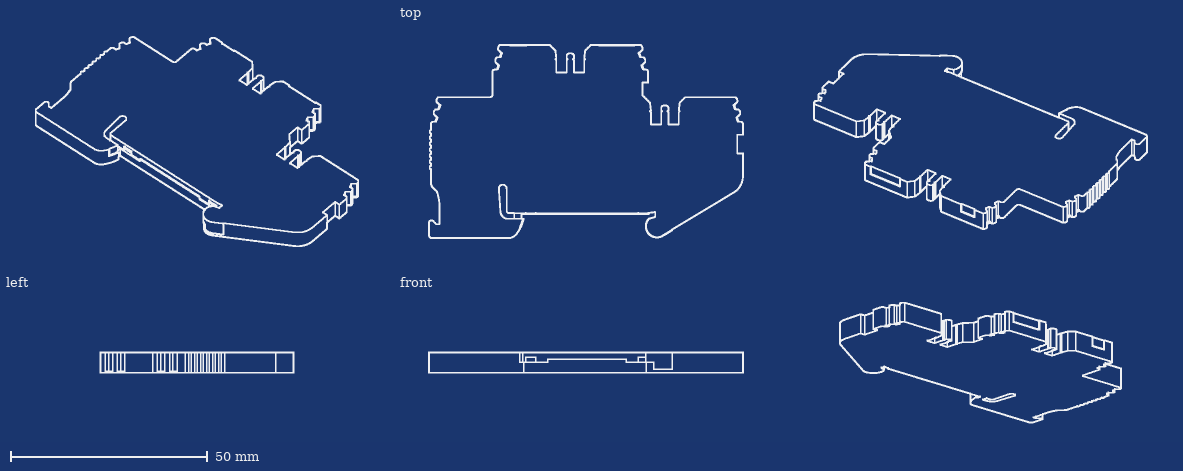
import cadquery as cq
import math

LENGTH = 79.8
HEIGHT = 49.1
THICKNESS = 5.2
PARTING_Z = 2.7
SKIN_Z = 0.4

TIER_DROP = 13.25
MID_TOP = HEIGHT - TIER_DROP
TOWER_CENTER = 35.9
TOWER_HALF_WIDTH = 19.8
TOWER_LEFT = TOWER_CENTER - TOWER_HALF_WIDTH
TOWER_RIGHT = TOWER_CENTER + TOWER_HALF_WIDTH
LEFT_WALL = 0.5
TIER_CORNER_RADIUS = 0.6

TOOTH_COUNT = 2
TOOTH_PITCH = 3.1
TOOTH_SHIFT = 0.7
CREST_INSET = 1.9
CREST_MIDDLE = (-0.4, 0.5)
TOOTH_TIP = (-0.5, 1.2)
ROOT_TOP = (0.55, 2.1)
ROOT_BOTTOM_INSET = 0.15
CUT_MARGIN = 0.8
NOTCH_LIP = 0.2
SHOULDER_ROUND = 0.6

FORK_SPACING = 24.0
FORK_HALF_WIDTH = 3.5
FORK_DEPTH = 6.95
FORK_MOUTH = 5.2
FORK_SHOULDER = 1.4
POST_HALF_WIDTH = 0.95
POST_DROP = 2.1
POST_ROUND = 0.55
POST_ROUND_MIDDLE = (0.6, 2.2)
GROOVE_DROP = 3.6
GROOVE_SIZE = 0.2

NOTCH_DEPTH = 1.4
NOTCH_DROP = 9.6
NOTCH_HEIGHT = 4.7

LOWER_FORK_X = TOWER_CENTER + FORK_SPACING
RAMP_RISE = LOWER_FORK_X - FORK_MOUTH - (TOWER_RIGHT - NOTCH_DEPTH)

RIB_COUNT = 7
RIB_PITCH = 1.5
RIB_WIDTH = 0.9
RIB_HEIGHT = 0.3
RIB_FIRST_Y = 17.95

FOOT_RADIUS = 0.8
FOOT_TOP = 4.95
FOOT_TIP = 24.1
FOOT_STEP = 0.2
FOOT_FLAT_END = 20.4
TOE_STEP_START = 23.05
TOE_SOLE_MIDDLE = (21.4, 0.3)
TOE_SOLE_END = (22.2, 0.95)
TOE_FRONT_INSET = 0.8
TOE_FRONT_Y = 2.7
HEEL_TOP = 4.0
HEEL_ROUND_MIDDLE = (0.55, 4.55)
HEEL_ROUND_END = (1.1, 4.4)
HEEL_NOTCH_X = 1.8
ANKLE_X = 2.6
ANKLE_Y = 3.6
ANKLE_TOP = 8.9

ANKLE_ARCS = (
    ((2.5, 10.05), (2.2, 11.1)),
    ((2.0, 11.8), (1.5, 12.4)),
    ((0.8, 13.1), (LEFT_WALL, 13.9)),
)

SLOT_RIGHT = 19.7
SLOT_TOP = 13.6
SLOT_ROUND = 0.95
SLOT_CHAMFER = 0.4
SLOT_BEND_START = (18.2, 6.8)
SLOT_BEND_MIDDLE = (18.7, 5.6)
SLOT_BEND_END_X = 19.95

SEAT_Y = 6.4
SEAT_STEP = 0.2
SEAT_END = 55.85
SEAT_RAISED_Z = 3.4
SEAT_RAISED_START = 30.2
SEAT_RAISED_END = 50.1
TAB_START = 21.6
TAB_END = 23.5
POCKET_WIDTH = 2.55
POCKET_TOP = 4.0
POCKET_DEPTH = 0.5
POCKET_STARTS = (24.6, 53.15)

HOOK_X = 57.9
HOOK_Y = 3.0
HOOK_RADIUS = 2.9
HOOK_STEP = 0.15
HOOK_NECK_X = 57.45
HOOK_NECK_Y = 5.4
HOOK_ARC_END = 138
NOSE_START = 57.05
NOSE_END = 61.75
NOSE_BOTTOM = 0.95
SLOPE = 31
CORNER_RADIUS = 4.95

LABEL_RECESSES = ((20.7, 24.7), (43.25, 52.2))
LABEL_DEPTH = 0.2


def block(x0, x1, y0, y1, z0=0.0, z1=THICKNESS):
    return cq.Workplane("XY").box(x1 - x0, y1 - y0, z1 - z0, centered=False).translate((x0, y0, z0))


def on_circle(center, radius, degrees):
    angle = math.radians(degrees)
    return (center[0] + radius * math.cos(angle), center[1] + radius * math.sin(angle))


def body(hook_radius, foot_tip):
    """Slab with the plain outline, before teeth, forks and notches."""
    hook = (HOOK_X, HOOK_Y)
    slope_start = on_circle(hook, hook_radius, SLOPE - 90)
    wall_meets_slope = slope_start[1] + (LENGTH - slope_start[0]) * math.tan(math.radians(SLOPE))
    tangent_length = CORNER_RADIUS * math.tan(math.radians((90 - SLOPE) / 2))
    corner = (LENGTH - CORNER_RADIUS, wall_meets_slope + tangent_length)
    outline = (
        cq.Workplane("XY")
        .moveTo(FOOT_RADIUS, 0)
        .radiusArc((0, FOOT_RADIUS), FOOT_RADIUS)
        .lineTo(0, HEEL_TOP)
        .threePointArc(HEEL_ROUND_MIDDLE, HEEL_ROUND_END)
        .lineTo(HEEL_NOTCH_X, ANKLE_Y)
        .lineTo(ANKLE_X, ANKLE_Y)
        .lineTo(ANKLE_X, ANKLE_TOP)
    )
    for middle, end in ANKLE_ARCS:
        outline = outline.threePointArc(middle, end)
    outline = (
        outline
        .lineTo(LEFT_WALL, MID_TOP)
        .lineTo(TOWER_LEFT - TIER_CORNER_RADIUS, MID_TOP)
        .radiusArc((TOWER_LEFT, MID_TOP + TIER_CORNER_RADIUS), -TIER_CORNER_RADIUS)
        .lineTo(TOWER_LEFT, HEIGHT)
        .lineTo(TOWER_RIGHT, HEIGHT)
        .lineTo(TOWER_RIGHT, MID_TOP)
        .lineTo(LENGTH, MID_TOP)
        .lineTo(LENGTH, corner[1])
        .threePointArc(
            on_circle(corner, CORNER_RADIUS, (SLOPE - 90) / 2),
            on_circle(corner, CORNER_RADIUS, SLOPE - 90),
        )
        .lineTo(*slope_start)
        .threePointArc(
            on_circle(hook, hook_radius, 180),
            on_circle(hook, hook_radius, HOOK_ARC_END),
        )
        .lineTo(HOOK_NECK_X, HOOK_NECK_Y)
        .lineTo(HOOK_NECK_X, SEAT_Y + SEAT_STEP)
        .lineTo(SEAT_END, SEAT_Y)
        .lineTo(SLOT_RIGHT + SLOT_CHAMFER, SEAT_Y)
        .lineTo(SLOT_RIGHT, SEAT_Y + SLOT_CHAMFER)
        .lineTo(SLOT_RIGHT, SLOT_TOP - SLOT_ROUND)
        .radiusArc((SLOT_RIGHT - 2 * SLOT_ROUND, SLOT_TOP - SLOT_ROUND), -SLOT_ROUND)
        .lineTo(*SLOT_BEND_START)
        .threePointArc(SLOT_BEND_MIDDLE, (SLOT_BEND_END_X, FOOT_TOP))
        .lineTo(foot_tip, FOOT_TOP)
        .threePointArc((foot_tip - TOE_FRONT_INSET, TOE_FRONT_Y), TOE_SOLE_END)
        .threePointArc(TOE_SOLE_MIDDLE, (FOOT_FLAT_END, 0))
        .close()
    )
    return outline.extrude(THICKNESS)


def tooth_cutter(wall_x, top, inward, lip, z0):
    """Space outside the teeth of one tier end; inward is +1 for left ends and -1 for right ends."""
    def at(inset, drop):
        return (wall_x + inward * inset, top - drop)

    cutter = cq.Workplane("XY", origin=(0, 0, z0)).moveTo(*at(-CUT_MARGIN, -CUT_MARGIN))
    cutter = cutter.lineTo(*at(CREST_INSET, -CUT_MARGIN))
    for index in range(TOOTH_COUNT):
        inset = CREST_INSET - index * TOOTH_SHIFT
        drop = index * TOOTH_PITCH
        crest_middle = at(inset + CREST_MIDDLE[0], drop + CREST_MIDDLE[1])
        tip = at(inset + TOOTH_TIP[0], drop + TOOTH_TIP[1])
        cutter = (
            cutter.lineTo(*at(inset, drop))
            .threePointArc(crest_middle, tip)
            .lineTo(*at(inset + ROOT_TOP[0] - lip, drop + ROOT_TOP[1]))
            .lineTo(*at(inset + ROOT_BOTTOM_INSET - lip, drop + TOOTH_PITCH))
        )
    bottom = TOOTH_COUNT * TOOTH_PITCH
    turn = SHOULDER_ROUND * (1 - math.sqrt(0.5))
    cutter = (
        cutter.lineTo(*at(SHOULDER_ROUND, bottom))
        .threePointArc(at(turn, bottom + turn), at(0, bottom + SHOULDER_ROUND))
        .lineTo(*at(-CUT_MARGIN, bottom + SHOULDER_ROUND))
        .close()
    )
    return cutter.extrude(THICKNESS - z0)


def fork_cutter(center_x, top):
    """Two channels either side of a round-topped post, with a 45 degree lead-in."""
    lead_half = FORK_MOUTH - FORK_SHOULDER
    groove_top = GROOVE_DROP - GROOVE_SIZE
    groove_bottom = GROOVE_DROP + GROOVE_SIZE
    half_channel = [
        (0, -RAMP_RISE),
        (FORK_MOUTH + RAMP_RISE, -RAMP_RISE),
        (lead_half, FORK_SHOULDER),
        (FORK_HALF_WIDTH, groove_top),
        (FORK_HALF_WIDTH + GROOVE_SIZE, GROOVE_DROP),
        (FORK_HALF_WIDTH, groove_bottom),
        (FORK_HALF_WIDTH, FORK_DEPTH),
        (POST_HALF_WIDTH, FORK_DEPTH),
        (POST_HALF_WIDTH, groove_bottom),
        (POST_HALF_WIDTH - GROOVE_SIZE, GROOVE_DROP),
        (POST_HALF_WIDTH, groove_top),
        (POST_HALF_WIDTH, POST_DROP + POST_ROUND),
    ]
    right = cq.Workplane("XY").polyline([(x, -drop) for x, drop in half_channel])
    round_x, round_drop = POST_ROUND_MIDDLE
    right = right.threePointArc((round_x, -round_drop), (0, -POST_DROP)).close().extrude(THICKNESS)
    return right.union(right.mirror("YZ")).translate((center_x, top, 0))


def left_rib(center_y):
    """Rounded vertical rib on the left wall."""
    half = RIB_WIDTH / 2
    return (
        cq.Workplane("XY")
        .moveTo(LEFT_WALL, center_y - half)
        .threePointArc((LEFT_WALL - RIB_HEIGHT, center_y), (LEFT_WALL, center_y + half))
        .lineTo(LEFT_WALL + RIB_HEIGHT, center_y + half)
        .lineTo(LEFT_WALL + RIB_HEIGHT, center_y - half)
        .close()
        .extrude(THICKNESS)
    )


result = body(HOOK_RADIUS - HOOK_STEP, FOOT_TIP)
proud_hook = body(HOOK_RADIUS, FOOT_TIP)
upper_nose = block(HOOK_X - HOOK_RADIUS, NOSE_END, 0, HOOK_NECK_Y, PARTING_Z)
lower_nose = block(NOSE_START, NOSE_END, 0, HOOK_NECK_Y, NOSE_BOTTOM)
result = result.union(proud_hook.intersect(upper_nose.union(lower_nose)))

short_foot = body(HOOK_RADIUS, FOOT_TIP - FOOT_STEP)
upper_toe = block(TOE_STEP_START, FOOT_TIP, 0, FOOT_TOP, PARTING_Z)
result = result.cut(upper_toe.cut(short_foot))

seat_front = SEAT_Y - SEAT_STEP
seat_back = SEAT_Y + SEAT_STEP
result = result.union(block(TAB_START, SEAT_END, seat_front, seat_back, 0, PARTING_Z))
result = result.union(block(SEAT_RAISED_START, SEAT_RAISED_END, seat_front, seat_back, 0, SEAT_RAISED_Z))
result = result.union(block(TAB_START, TAB_END, FOOT_TOP, seat_back, 0, PARTING_Z))
for start in POCKET_STARTS:
    result = result.cut(
        block(start, start + POCKET_WIDTH, seat_front, SEAT_Y + POCKET_DEPTH, PARTING_Z, POCKET_TOP)
    )

tier_ends = (
    (TOWER_LEFT, HEIGHT, 1),
    (TOWER_RIGHT, HEIGHT, -1),
    (LEFT_WALL, MID_TOP, 1),
    (LENGTH, MID_TOP, -1),
)
for wall_x, top, inward in tier_ends:
    result = result.cut(tooth_cutter(wall_x, top, inward, NOTCH_LIP, 0))
    result = result.cut(tooth_cutter(wall_x, top, inward, 0, SKIN_Z))

upper_notch_top = HEIGHT - NOTCH_DROP
lower_notch_top = MID_TOP - NOTCH_DROP
result = result.cut(block(TOWER_RIGHT - NOTCH_DEPTH, TOWER_RIGHT, MID_TOP + RAMP_RISE, upper_notch_top))
result = result.cut(block(LENGTH - NOTCH_DEPTH, LENGTH, lower_notch_top - NOTCH_HEIGHT, lower_notch_top))

result = result.cut(fork_cutter(TOWER_CENTER, HEIGHT))
result = result.cut(fork_cutter(LOWER_FORK_X, MID_TOP))

for start, end in LABEL_RECESSES:
    result = result.cut(block(start, end, HEIGHT - LABEL_DEPTH, HEIGHT, PARTING_Z))

for index in range(RIB_COUNT):
    result = result.union(left_rib(RIB_FIRST_Y + index * RIB_PITCH))